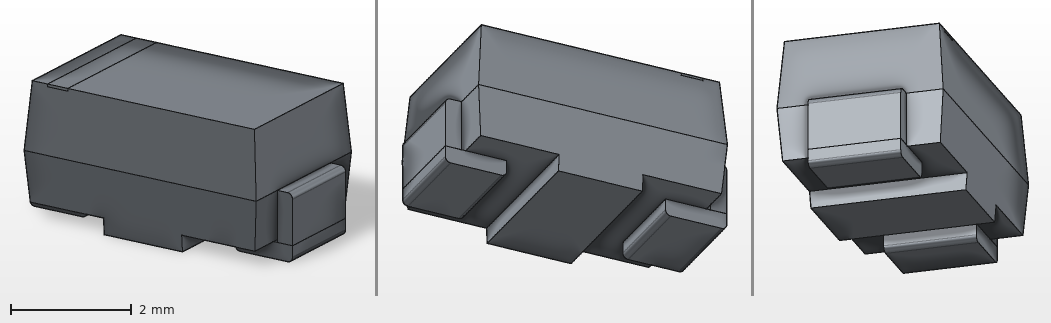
import cadquery as cq

overall_length = 5.2
case_width = 2.9
case_height = 2.44
parting_height = case_height / 2
draft_inset = 0.1

lead_thickness = 0.3
lead_width = 1.615
foot_length = 1.135
corner_radius = 0.1

standoff_length = 1.55

band_width = 0.4
band_depth = 0.045
band_center_x = -1.695

case_length = overall_length - 2 * lead_thickness


def drafted_half(height):
    """Block that narrows upward (or downward for a negative height) from the parting plane."""
    return (
        cq.Workplane("XY", origin=(0, 0, parting_height))
        .rect(case_length, case_width)
        .workplane(offset=height)
        .rect(case_length - 2 * draft_inset, case_width - 2 * draft_inset)
        .loft(ruled=True)
    )


def band_envelope():
    """Strip across the full width; the drafted case trims its ends."""
    return cq.Workplane("XY").box(band_width, case_width, 2 * band_depth).translate(
        (band_center_x, 0, case_height)
    )


def make_upper_case():
    return drafted_half(case_height - parting_height).cut(band_envelope())


def make_band():
    return drafted_half(case_height - parting_height).intersect(band_envelope())


def make_lower_case():
    """Lower half, relieved at both ends so that the feet fit under it."""
    relief_length = (case_length - standoff_length) / 2
    relief_center_x = (case_length + standoff_length) / 4
    lower = drafted_half(-parting_height)
    for side in (-1, 1):
        relief = cq.Workplane("XY").box(
            relief_length, case_width, lead_thickness, centered=(True, True, False)
        )
        lower = lower.cut(relief.translate((side * relief_center_x, 0, 0)))
    return lower


def make_upright(side):
    """Vertical part of a lead, rounded along its outer top edge."""
    upright_height = parting_height - lead_thickness
    center_x = side * (overall_length - lead_thickness) / 2
    outer_edge = ">Z and >X" if side > 0 else ">Z and <X"
    return (
        cq.Workplane("XY")
        .box(lead_thickness, lead_width, upright_height, centered=(True, True, False))
        .edges(outer_edge)
        .fillet(corner_radius)
        .translate((center_x, 0, lead_thickness))
    )


def make_foot(side):
    """Flat part of a lead, rounded along both bottom end edges."""
    center_x = side * (overall_length - foot_length) / 2
    return (
        cq.Workplane("XY")
        .box(foot_length, lead_width, lead_thickness, centered=(True, True, False))
        .edges("<Z and |Y")
        .fillet(corner_radius)
        .translate((center_x, 0, 0))
    )


upper_case = make_upper_case()
lower_case = make_lower_case()
band = make_band()
uprights = [make_upright(side) for side in (-1, 1)]
feet = [make_foot(side) for side in (-1, 1)]

result = cq.Compound.makeCompound(
    [
        upper_case.val(),
        lower_case.val(),
        band.val(),
        *[upright.val() for upright in uprights],
        *[foot.val() for foot in feet],
    ]
)